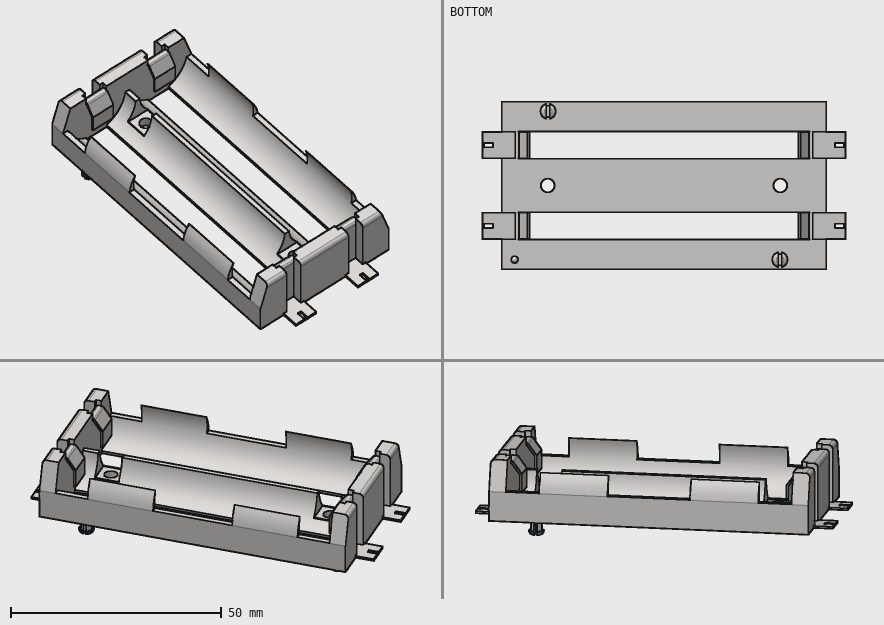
import cadquery as cq
import math

housing_length = 77.2
housing_width = 39.8
rim_height = 7.3
end_wall_height = 14.5
end_wall_thickness = 4.1
end_wall_top_width = 35.25
end_wall_fillet = 1.0

half_length = housing_length / 2
half_width = housing_width / 2
bay_length = housing_length - 2 * end_wall_thickness
wall_face_x = bay_length / 2

cell_radius = 9.0
cell_y = 9.6
cell_z = 9.1
window_width = 6.4
ridge_height = 8.3

lip_length = 16.5
lip_x = 18.2
lip_top = 12.0
lip_outer_radius = 10.4
lip_tip_y = 18.1

seat_size = 6.05
seat_x = 27.65
seat_floor = 2.7
screw_hole_diameter = 3.2

peg_x = 27.6
peg_y = 17.6
peg_diameter = 2.7
peg_length = 3.3
peg_barb_diameter = 3.6
peg_barb_height = 0.95
peg_slot_width = 0.8
peg_slot_top = 0.7
pin_x = 35.5
pin_diameter = 1.6
pin_straight = 0.7

contact_thickness = 0.5
contact_width = 6.3
contact_end_x = 43.2
contact_back_x = 35.9
contact_top = 13.1
contact_bend_radius = 0.5
contact_crest_x = 34.2
contact_front_x = 32.0
contact_knee_z = 10.1
contact_foot_z = 5.5
tab_hole_length = 2.1
tab_hole_width = 0.95
tab_hole_x = 41.7
wall_slot_width = 4.4


def centred_block(length, width, height):
    """Block centred on X and Y that stands on Z = 0."""
    return cq.Workplane("XY").box(length, width, height, centered=(True, True, False))


def wall_block(length, width, height):
    """Block centred on Y that stands on Z = 0 and runs outward from the wall face."""
    block = cq.Workplane("XY").box(length, width, height, centered=(False, True, False))
    return block.translate((wall_face_x, 0, 0))


def make_tray():
    """Solid block as high as the side walls, with the higher ridge along its middle."""
    block = centred_block(housing_length, housing_width, rim_height)
    ridge = centred_block(bay_length, 2 * cell_y, ridge_height)
    return block.union(ridge)


def make_lip(x, side):
    """Lip that rises from a side wall and curves in; solid up to the bay axis until the bay is cut."""
    lip = (
        cq.Workplane("YZ")
        .moveTo(side * half_width, rim_height)
        .radiusArc((side * lip_tip_y, lip_top), -side * lip_outer_radius)
        .lineTo(side * cell_y, lip_top)
        .lineTo(side * cell_y, rim_height)
        .close()
        .extrude(lip_length / 2, both=True)
    )
    return lip.translate((x, 0, 0))


def make_bay(y):
    """Cylindrical space for one cell, with a window through the floor below it."""
    space = cq.Workplane("YZ").center(y, cell_z).circle(cell_radius).extrude(bay_length / 2, both=True)
    window = centred_block(bay_length, window_width, cell_z)
    return space.union(window.translate((0, y, 0)))


def make_end_wall(end):
    """End wall with leaning sides and a rounded outer top edge."""
    wall = (
        cq.Workplane("YZ")
        .moveTo(-half_width, 0)
        .lineTo(-half_width, rim_height)
        .lineTo(-end_wall_top_width / 2, end_wall_height)
        .lineTo(end_wall_top_width / 2, end_wall_height)
        .lineTo(half_width, rim_height)
        .lineTo(half_width, 0)
        .close()
        .extrude(end_wall_thickness)
        .translate((wall_face_x, 0, 0))
        .edges(">Z and >X")
        .fillet(end_wall_fillet)
    )
    return wall if end > 0 else wall.mirror("YZ")


def make_contact_recess(end, y):
    """Space in an end wall for one contact: pocket, outer slot and tab notch."""
    depth = contact_back_x - wall_face_x
    pocket = wall_block(depth, contact_width, end_wall_height)
    slot = wall_block(end_wall_thickness, wall_slot_width, end_wall_height)
    notch = wall_block(end_wall_thickness, contact_width, contact_thickness)
    web = wall_block(depth - contact_thickness, contact_width, contact_top - contact_thickness)
    recess = pocket.union(slot).union(notch).cut(web)
    if end < 0:
        recess = recess.mirror("YZ")
    return recess.translate((0, y, 0))


def make_seat(x):
    """Square screw seat cut into the ridge, with a hole through the floor."""
    seat = centred_block(seat_size, seat_size, ridge_height)
    hole = cq.Workplane("XY").circle(screw_hole_diameter / 2).extrude(seat_floor)
    return seat.translate((0, 0, seat_floor)).union(hole).translate((x, 0, 0))


def make_peg(x, y):
    """Split snap peg with a rounded barb at its tip."""
    shank_radius = peg_diameter / 2
    barb_radius = peg_barb_diameter / 2
    barb_top = peg_barb_height - peg_length
    peg = (
        cq.Workplane("XZ")
        .moveTo(0, 0)
        .lineTo(shank_radius, 0)
        .lineTo(shank_radius, barb_top)
        .lineTo(barb_radius, barb_top)
        .radiusArc((barb_radius - peg_barb_height, -peg_length), peg_barb_height)
        .lineTo(0, -peg_length)
        .close()
        .revolve(360, (0, 0, 0), (0, 1, 0))
    )
    slot = centred_block(peg_slot_width, peg_barb_diameter, peg_length - peg_slot_top)
    return peg.cut(slot.translate((0, 0, -peg_length))).translate((x, y, 0))


def make_pin():
    """Short locating pin with a domed end."""
    radius = pin_diameter / 2
    return (
        cq.Workplane("XZ")
        .moveTo(0, 0)
        .lineTo(radius, 0)
        .lineTo(radius, -pin_straight)
        .radiusArc((0, -pin_straight - radius), radius)
        .close()
        .revolve(360, (0, 0, 0), (0, 1, 0))
        .translate((-pin_x, peg_y, 0))
    )


def make_housing():
    """One solid: tray, lips, bays, end walls, screw seats, contact recesses, pegs and pin."""
    housing = make_tray()
    for x in (-lip_x, lip_x):
        for side in (-1, 1):
            housing = housing.union(make_lip(x, side))
    for side in (-1, 1):
        housing = housing.cut(make_bay(side * cell_y))
    for end in (-1, 1):
        housing = housing.union(make_end_wall(end))
        housing = housing.cut(make_seat(end * seat_x))
        for side in (-1, 1):
            housing = housing.cut(make_contact_recess(end, side * cell_y))
        housing = housing.union(make_peg(end * peg_x, end * peg_y))
    return housing.union(make_pin())


def make_contact(end, y):
    """Bent strip: solder tab, upright leg, crest and sloping pressing leg."""
    t = contact_thickness
    slope = math.atan2(contact_top - contact_knee_z, contact_crest_x - contact_front_x)
    crest_shift = t * math.tan(slope / 2)
    knee_shift = t * math.tan((math.pi / 2 - slope) / 2)
    strip = (
        cq.Workplane("XZ")
        .moveTo(contact_end_x, 0)
        .lineTo(contact_end_x, t)
        .lineTo(contact_back_x, t)
        .lineTo(contact_back_x, contact_top)
        .lineTo(contact_crest_x, contact_top)
        .lineTo(contact_front_x, contact_knee_z)
        .lineTo(contact_front_x, contact_foot_z)
        .lineTo(contact_front_x + t, contact_foot_z)
        .lineTo(contact_front_x + t, contact_knee_z - knee_shift)
        .lineTo(contact_crest_x + crest_shift, contact_top - t)
        .lineTo(contact_back_x - t, contact_top - t)
        .lineTo(contact_back_x - t, 0)
        .close()
        .extrude(contact_width / 2, both=True)
    )
    strip = strip.faces(">Z").edges("|Y").fillet(contact_bend_radius)
    hole = cq.Workplane("XY").center(tab_hole_x, 0).rect(tab_hole_length, tab_hole_width).extrude(t)
    strip = strip.cut(hole)
    if end < 0:
        strip = strip.mirror("YZ")
    return strip.translate((0, y, 0))


housing = make_housing()
contacts = []
for end in (-1, 1):
    for side in (-1, 1):
        contacts.append(make_contact(end, side * cell_y))

result = cq.Compound.makeCompound([housing.val(), *[contact.val() for contact in contacts]])